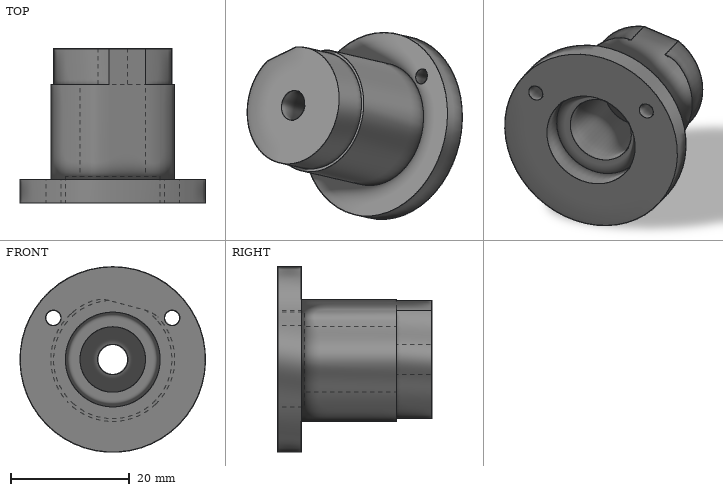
import cadquery as cq
import math

FLANGE_DIAMETER = 31.25
FLANGE_THICKNESS = 4.0
BODY_DIAMETER = 20.87
BODY_LENGTH = 16.0
TIP_DIAMETER = 19.93
TIP_LENGTH = 6.0
TOTAL_LENGTH = FLANGE_THICKNESS + BODY_LENGTH + TIP_LENGTH

FLAT_TILT = 15.0
FLAT_DISTANCE = 9.45
FLAT_BLEND_RADIUS = 5.0

RECESS_DIAMETER = 15.95
RECESS_DEPTH = 4.5
BORE_DIAMETER = 11.03
BORE_END = FLANGE_THICKNESS + BODY_LENGTH
THROUGH_DIAMETER = 5.03

SCREW_DIAMETER = 2.53
SCREW_OFFSET_X = 10.0
SCREW_HEIGHT = 7.0


def rod(diameter, start, length):
    """Cylinder along +Y, centred on the flange axis."""
    return cq.Workplane(
        cq.Solid.makeCylinder(diameter / 2, length, cq.Vector(0, start, 0), cq.Vector(0, 1, 0))
    )


def flat_cutter(start, length):
    """Block above the flat, before it is tilted."""
    size = FLANGE_DIAMETER
    return (
        cq.Workplane("XY")
        .box(size, length, size, centered=(True, False, False))
        .translate((0, start, FLAT_DISTANCE))
    )


def blended_body():
    """Body with its flat rounded into the cylindrical side."""
    half_flat = math.sqrt((BODY_DIAMETER / 2) ** 2 - FLAT_DISTANCE**2)
    middle = FLANGE_THICKNESS + BODY_LENGTH / 2
    body = rod(BODY_DIAMETER, FLANGE_THICKNESS, BODY_LENGTH)
    body = body.cut(flat_cutter(FLANGE_THICKNESS, BODY_LENGTH))
    for side in (-1, 1):
        corner = cq.selectors.NearestToPointSelector((side * half_flat, middle, FLAT_DISTANCE))
        body = body.edges("|Y").edges(corner).fillet(FLAT_BLEND_RADIUS)
    return body


def flatted_tip():
    """Tip with a sharp-edged flat."""
    start = FLANGE_THICKNESS + BODY_LENGTH
    return rod(TIP_DIAMETER, start, TIP_LENGTH).cut(flat_cutter(start, TIP_LENGTH))


barrel = blended_body().union(flatted_tip()).rotate((0, 0, 0), (0, 1, 0), FLAT_TILT)
result = rod(FLANGE_DIAMETER, 0, FLANGE_THICKNESS).union(barrel)

result = result.cut(rod(RECESS_DIAMETER, 0, RECESS_DEPTH))
result = result.cut(rod(BORE_DIAMETER, 0, BORE_END))
result = result.cut(rod(THROUGH_DIAMETER, 0, TOTAL_LENGTH))

for side in (-1, 1):
    screw_hole = rod(SCREW_DIAMETER, 0, FLANGE_THICKNESS)
    result = result.cut(screw_hole.translate((side * SCREW_OFFSET_X, 0, SCREW_HEIGHT)))